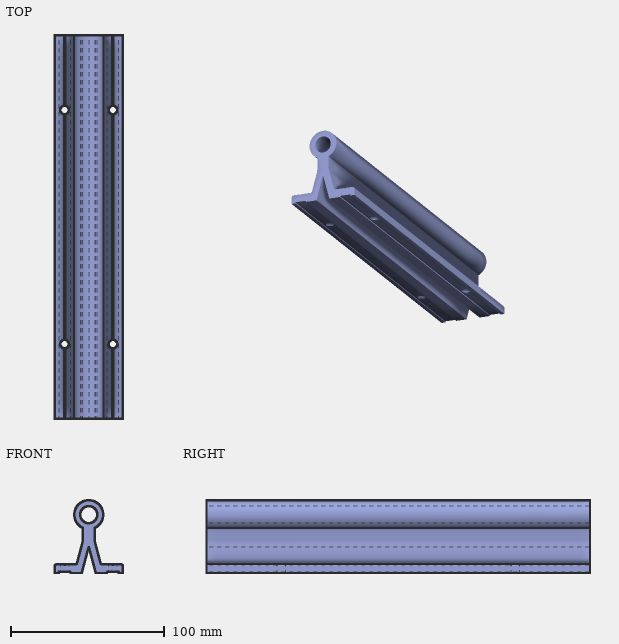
import cadquery as cq
import math

length = 250.0
width = 44.5
height = 47.5

tube_radius = 9.5
bore_diameter = 11.0
tube_center_z = height - tube_radius

neck_half_width = 4.0
neck_bottom_z = 20.5
leg_angle = 15.0
leg_gap_half_width = 4.5
neck_fillet = 8.8
leg_foot_fillet = 1.2

foot_thickness = 5.8
foot_edge_fillet = 1.5
recess_inner_x = 12.0
recess_outer_x = 19.5
recess_depth = 0.8

hole_line_x = 15.8
hole_diameter = 5.5
hole_spacing = 152.5
groove_width = 1.0
groove_depth = 0.5

leg_spread = math.tan(math.radians(leg_angle))
half_width = width / 2
leg_outer_x = neck_half_width + (neck_bottom_z - foot_thickness) * leg_spread
leg_gap_top_z = leg_gap_half_width / leg_spread


def extrude_profile(points):
    """Extrude an XZ outline over the full length, centred on Y."""
    return cq.Workplane("XZ").polyline(points).close().extrude(length / 2, both=True)


def round_edges(body, x, z, radius):
    """Fillet the two lengthwise edges at (x, z) and (-x, z)."""
    for edge_x in (x, -x):
        body = body.edges(cq.selectors.NearestToPointSelector((edge_x, 0, z))).fillet(radius)
    return body


def make_base():
    """Feet, legs and neck, the neck running up to the tube centre."""
    right_side = [
        (leg_gap_half_width, 0),
        (recess_inner_x, 0),
        (recess_inner_x, recess_depth),
        (recess_outer_x, recess_depth),
        (recess_outer_x, 0),
        (half_width, 0),
        (half_width, foot_thickness),
        (leg_outer_x, foot_thickness),
        (neck_half_width, neck_bottom_z),
        (neck_half_width, tube_center_z),
    ]
    left_side = [(-x, z) for x, z in reversed(right_side)]
    base = extrude_profile([(0, leg_gap_top_z)] + right_side + left_side)
    base = round_edges(base, half_width, foot_thickness, foot_edge_fillet)
    base = round_edges(base, leg_outer_x, foot_thickness, leg_foot_fillet)
    return round_edges(base, neck_half_width, neck_bottom_z, neck_fillet)


def make_cylinder(diameter):
    """Full-length cylinder on the tube axis."""
    section = cq.Workplane("XZ").center(0, tube_center_z).circle(diameter / 2)
    return section.extrude(length / 2, both=True)


def make_groove(x):
    """V-shaped cutter for the line along the top of a foot."""
    return extrude_profile([
        (x - groove_width / 2, foot_thickness),
        (x, foot_thickness - groove_depth),
        (x + groove_width / 2, foot_thickness),
    ])


result = make_base().union(make_cylinder(2 * tube_radius)).cut(make_cylinder(bore_diameter))

for groove_x in (-hole_line_x, hole_line_x):
    result = result.cut(make_groove(groove_x))

holes = (
    cq.Workplane("XY")
    .rect(2 * hole_line_x, hole_spacing, forConstruction=True)
    .vertices()
    .circle(hole_diameter / 2)
    .extrude(foot_thickness)
)
result = result.cut(holes)